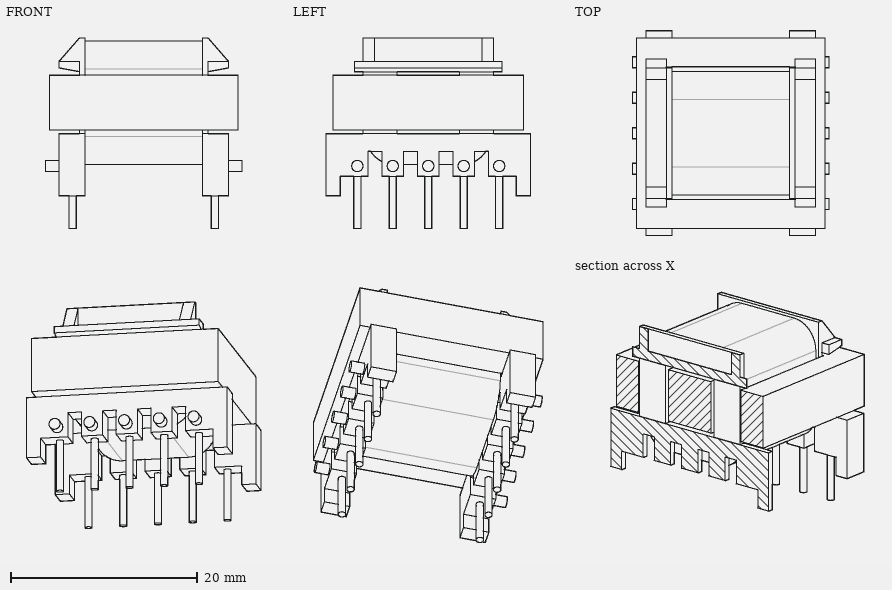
import cadquery as cq


core_length = 20.28
core_width = 20.45
core_height = 5.92
core_wall = 3.12
core_mid_z = 13.5
core_leg_width = core_height

flange_outer_x = 6.9
flange_inner_x = 6.3
flange_thickness = flange_outer_x - flange_inner_x
flange_width = 14.01
bobbin_top_z = 20.45
tunnel_width = 6.69
tunnel_height = 6.62
tunnel_bottom_z = core_mid_z - tunnel_height / 2
tunnel_top_z = core_mid_z + tunnel_height / 2

winding_size = 13.29
winding_corner_radius = 3.01

lip_outer_x = 9.1
lip_width = 15.88
lip_top_z = 17.93
lip_edge_height = 0.7
gusset_thickness = 1.23

rail_length = 22.0
rail_top_z = tunnel_bottom_z
rail_bottom_z = 5.59
rail_thickness = lip_outer_x - flange_inner_x
foot_length = 1.56
foot_bottom_z = 3.5
notch_width = 1.47
notch_top_z = 8.27

pin_count = 5
pin_pitch = 3.8
solder_pin_diameter = 0.8
solder_pin_x = 7.63
wire_pin_diameter = 1.2
wire_pin_z = 6.7
wire_pin_tip_x = 21.1 / 2

pin_positions = [(i - (pin_count - 1) / 2) * pin_pitch for i in range(pin_count)]
notch_positions = [y + pin_pitch / 2 for y in pin_positions[:-1]]


def block(x_start, x_size, y_mid, y_size, z_bottom, z_top):
    """Box given by its lowest X, its middle Y and its bottom and top Z."""
    size_z = z_top - z_bottom
    corner = (x_start, y_mid - y_size / 2, z_bottom)
    return cq.Workplane("XY").box(x_size, y_size, size_z, centered=False).translate(corner)


def extruded_along_y(points, y_mid, y_size):
    """Outline of (x, z) points given a thickness along Y."""
    outline = cq.Workplane("XZ", origin=(0, y_mid, 0)).polyline(points).close()
    return outline.extrude(y_size / 2, both=True)


def make_core():
    frame = cq.Workplane("XY").box(core_length, core_width, core_height)
    window = cq.Workplane("XY").box(core_length - 2 * core_wall, core_width - 2 * core_wall, core_height)
    middle_leg = cq.Workplane("XY").box(core_length - core_wall, core_leg_width, core_height)
    return frame.cut(window).union(middle_leg).translate((0, 0, core_mid_z))


def make_winding():
    winding = cq.Workplane("XY").box(2 * flange_inner_x, winding_size, winding_size)
    winding = winding.edges("|X").fillet(winding_corner_radius)
    return winding.translate((0, 0, core_mid_z))


def make_lip():
    """Lip with a sloping underside, and the two gussets that brace it."""
    lip_profile = [
        (flange_outer_x, tunnel_top_z),
        (lip_outer_x, lip_top_z - lip_edge_height),
        (lip_outer_x, lip_top_z),
        (flange_outer_x, lip_top_z),
    ]
    gusset_profile = [
        (flange_outer_x, lip_top_z),
        (lip_outer_x, lip_top_z),
        (flange_outer_x, bobbin_top_z),
    ]
    lip = extruded_along_y(lip_profile, 0, lip_width)
    gusset_y = (flange_width - gusset_thickness) / 2
    for y in (-gusset_y, gusset_y):
        lip = lip.union(extruded_along_y(gusset_profile, y, gusset_thickness))
    return lip


def make_rail():
    """Rail with a foot at each end and notches between the pins."""
    rail = block(flange_inner_x, rail_thickness, 0, rail_length, rail_bottom_z, rail_top_z)
    foot_y = (rail_length - foot_length) / 2
    for y in (-foot_y, foot_y):
        rail = rail.union(block(flange_inner_x, rail_thickness, y, foot_length, foot_bottom_z, rail_top_z))
    for y in notch_positions:
        rail = rail.cut(block(flange_inner_x, rail_thickness, y, notch_width, rail_bottom_z, notch_top_z))
    return rail


def make_pins():
    """Row of solder pins pointing down and wire pins pointing outward."""
    solder_points = [(solder_pin_x, y) for y in pin_positions]
    wire_points = [(y, wire_pin_z) for y in pin_positions]
    solder_pins = cq.Workplane("XY").pushPoints(solder_points).circle(solder_pin_diameter / 2)
    solder_pins = solder_pins.extrude(wire_pin_z)
    wire_pins = cq.Workplane("YZ", origin=(solder_pin_x, 0, 0)).pushPoints(wire_points)
    wire_pins = wire_pins.circle(wire_pin_diameter / 2).extrude(wire_pin_tip_x - solder_pin_x)
    return solder_pins, wire_pins


def make_bobbin_end():
    """Everything at the +X end of the bobbin."""
    end = block(flange_inner_x, flange_thickness, 0, flange_width, rail_top_z, bobbin_top_z)
    end = end.union(make_lip()).union(make_rail())
    for pins in make_pins():
        end = end.union(pins)
    return end


def make_bobbin():
    end = make_bobbin_end()
    bobbin = make_winding().union(end).union(end.mirror("YZ"))
    tunnel = cq.Workplane("XY").box(2 * flange_outer_x, tunnel_width, tunnel_height)
    return bobbin.cut(tunnel.translate((0, 0, core_mid_z)))


core = make_core()
bobbin = make_bobbin()

result = cq.Compound.makeCompound([core.solids().val(), bobbin.solids().val()])